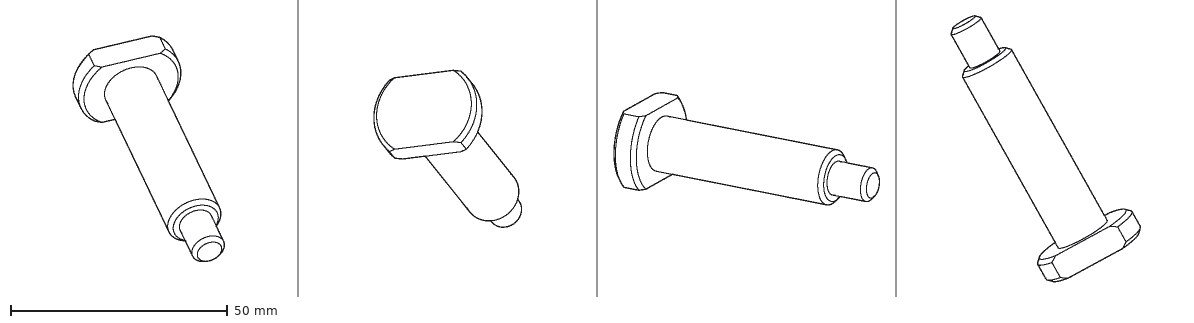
import cadquery as cq

total_length = 62.8
head_diameter = 25.0
head_thickness = 6.0
head_across_flats = 18.0
shank_diameter = 13.0
shank_end = 52.8
tip_diameter = 8.0
edge_chamfer = 1.0


def cylinder_along_x(diameter, start, end):
    """Cylinder on the X axis between two stations."""
    return cq.Workplane("YZ", origin=(start, 0, 0)).circle(diameter / 2).extrude(end - start)


flats_envelope = cq.Workplane("XY").box(
    head_thickness, head_diameter, head_across_flats, centered=(False, True, True)
)
head = cylinder_along_x(head_diameter, 0, head_thickness)
head = head.edges("%CIRCLE").chamfer(edge_chamfer).intersect(flats_envelope)

shank = cylinder_along_x(shank_diameter, 0, shank_end).faces(">X").chamfer(edge_chamfer)
tip = cylinder_along_x(tip_diameter, 0, total_length).faces(">X").chamfer(edge_chamfer)

result = head.union(shank).union(tip)